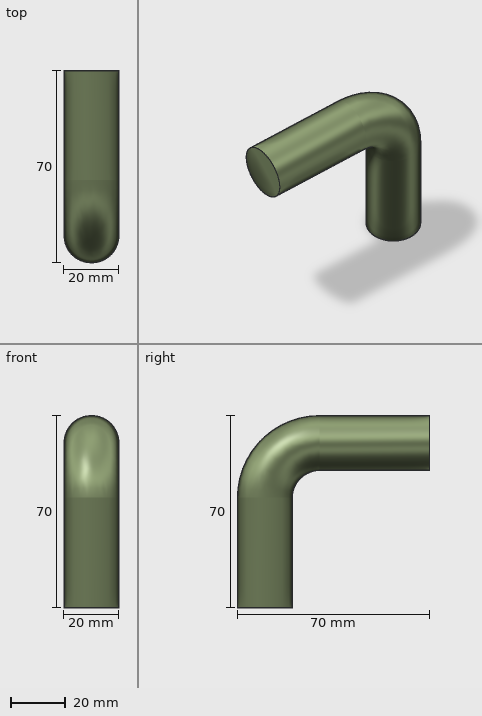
import cadquery as cq

rod_diameter = 20.0
straight_length = 40.0
bend_radius = 20.0
bend_angle = 90.0

rod_radius = rod_diameter / 2


def make_bent_rod():
    """Round rod: a leg up along Z, a quarter bend, then a leg along +Y."""
    upright = cq.Workplane("XY").circle(rod_radius).extrude(straight_length)

    bend = (
        cq.Workplane("XY", origin=(0, 0, straight_length))
        .circle(rod_radius)
        .revolve(bend_angle, (0, bend_radius, 0), (-1, bend_radius, 0))
    )

    level = (
        cq.Workplane("XZ", origin=(0, bend_radius, straight_length + bend_radius))
        .circle(rod_radius)
        .extrude(-straight_length)
    )
    return upright.union(bend).union(level)


bent_rod = make_bent_rod()

result = cq.Compound.makeCompound([bent_rod.val()])